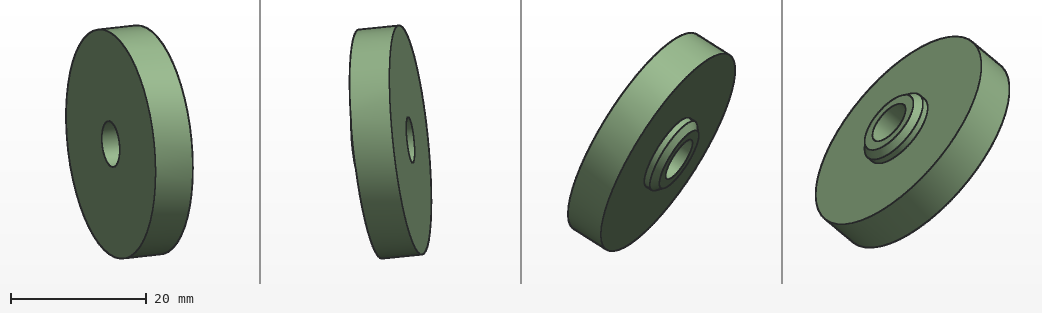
import cadquery as cq

disc_diameter = 34.0
total_thickness = 8.0
boss_diameter = 12.0
boss_height = 2.0
bore_diameter = 6.8

disc_thickness = total_thickness - boss_height
boss_chamfer = boss_height / 2


def cylinder_along_y(diameter, start, length):
    """Solid cylinder centred on the Y axis, from Y = start to start + length."""
    base = cq.Workplane("XZ", origin=(0, start, 0))
    return base.circle(diameter / 2).extrude(-length)


disc = cylinder_along_y(disc_diameter, 0, disc_thickness)

boss = cylinder_along_y(boss_diameter, disc_thickness, boss_height)
boss = boss.faces(">Y").chamfer(boss_chamfer)

bore = cylinder_along_y(bore_diameter, 0, total_thickness)

result = disc.union(boss).cut(bore)